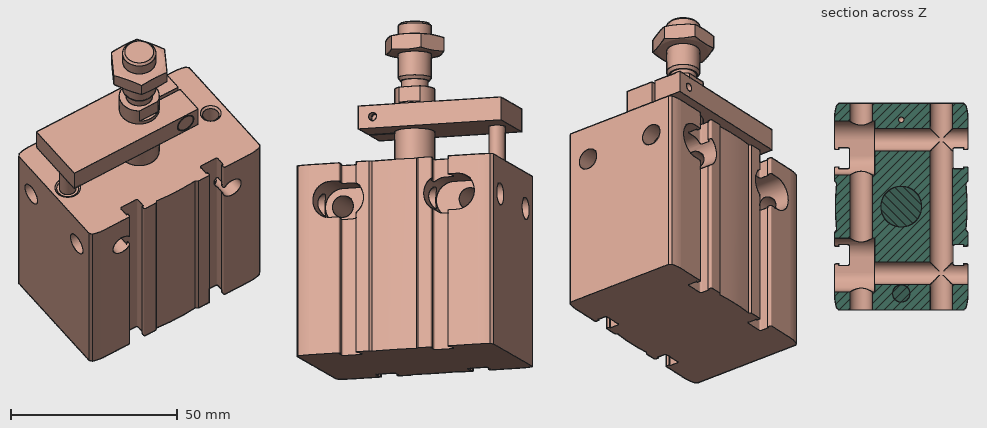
import cadquery as cq
import math

BODY_WIDTH = 40.0
BODY_LENGTH = 62.0
BODY_HEIGHT = 58.0

CORNER_CUT_X = 1.4
CORNER_CUT_Y = 0.7
FLANK_START_Y = 26.6
FLANK_DRAFT = 0.6
FLANK_BULGE = 0.14

SLOT_Y = 14.5
SLOT_WIDTH = 6.2
SLOT_FLOOR_ROUND = 0.5
SLOT_DEPTH = 4.5
SLOT_MOUTH = 5.2
LIP_THICKNESS = 1.3
LIP_ROUND = 0.4

PANEL_OUTER_Y = 7.7
PANEL_INNER_Y = 7.0
PANEL_RECESS = 0.6
PANEL_CREST = 0.25

MOUNT_HOLE_DIA = 6.6
MOUNT_HOLE_Z = 47.0
MOUNT_HOLE_X = 12.0
MOUNT_HOLE_Y = 20.0
MOUNT_POCKET_WIDTH = 11.0
MOUNT_POCKET_SHIFT = 5.0
MOUNT_POCKET_DEPTH = 12.0

GUIDE_Y = 26.0
TAP_DIA = 4.92
TAP_MOUTH_DIA = 6.2
TAP_DEPTH = 10.0
DRILL_POINT_ANGLE = 118.0

GUIDE_SEAT_DIA = 6.6
GUIDE_MOUTH_DIA = 7.6
GUIDE_SEAT_DEPTH = 0.3

ROD_DIA = 12.0
ROD_BOTTOM_Z = 42.0
ROD_SHOULDER_Z = 83.0
ROD_FLAT_WIDTH = 10.0
ROD_FLAT_HEIGHT = 4.7
NECK_DIA = 8.0
NECK_TOP_Z = 85.5
THREAD_DIA = 10.0
THREAD_START_Z = 86.5
THREAD_START_DIA = 8.57
THREAD_END_DIA = 8.65
ROD_TOP_Z = 103.0

NUT_BOTTOM_Z = 93.7
NUT_HEIGHT = 5.0
NUT_ACROSS_FLATS = 16.0
NUT_FACE_DIA = 15.0
NUT_CHAMFER_ANGLE = 15.0

PLATE_WIDTH = 20.0
PLATE_BOTTOM_Z = 70.0
PLATE_THICKNESS = 7.0
PLATE_FRONT_Y = -30.5
PLATE_BACK_Y = 14.5
SPLIT_WIDTH = 1.0

PIN_DIA = 5.0
PIN_BOTTOM_Z = 20.0
PIN_SOCKET_DEPTH = 4.0
PIN_TOP_Z = PLATE_BOTTOM_Z + PIN_SOCKET_DEPTH

SCREW_Y = 10.0
SCREW_Z = PLATE_BOTTOM_Z + PLATE_THICKNESS / 2
SCREW_DIA = 3.0
SCREW_TAP_DIA = 2.46
SCREW_CLEARANCE_DIA = 3.4
SCREW_HEAD_DIA = 5.5
SCREW_HEAD_RECESS_DIA = 5.9
SCREW_HEAD_HEIGHT = 3.0
SCREW_TIP_X = -7.0


def cylinder_z(diameter, bottom, top, x=0.0, y=0.0):
    """Upright cylinder between two heights."""
    return cq.Workplane("XY", (x, y, bottom)).circle(diameter / 2).extrude(top - bottom)


def cylinder_x(diameter, start, end, y, z):
    """Cylinder lying along X between two X positions."""
    return cq.Workplane("YZ", (start, y, z)).circle(diameter / 2).extrude(end - start)


def cone_z(bottom_dia, top_dia, bottom, top, y=0.0):
    """Upright cone frustum, turned from its half section; a zero bottom diameter gives a point."""
    points = [(0, bottom), (top_dia / 2, top), (0, top)]
    if bottom_dia > 0:
        points.insert(1, (bottom_dia / 2, bottom))
    cone = cq.Workplane("XZ").polyline(points).close().revolve(360, (0, 0, 0), (0, 1, 0))
    return cone.translate((0, y, 0))


def housing_blank():
    """Extruded body without slots: chamfered corners, curved flanks and bulged panels."""
    half_x = BODY_WIDTH / 2
    half_y = BODY_LENGTH / 2
    corner_y = half_y - CORNER_CUT_Y
    draft_x = half_x - FLANK_DRAFT
    flank_mid = (half_x - FLANK_DRAFT / 2 + FLANK_BULGE, (FLANK_START_Y + corner_y) / 2)
    panel_x = half_x - PANEL_RECESS
    half = (
        cq.Workplane("XY")
        .moveTo(0, half_y)
        .lineTo(half_x - CORNER_CUT_X, half_y)
        .lineTo(draft_x, corner_y)
        .threePointArc(flank_mid, (half_x, FLANK_START_Y))
        .lineTo(half_x, PANEL_OUTER_Y)
        .lineTo(panel_x, PANEL_INNER_Y)
        .threePointArc((half_x - PANEL_CREST, 0), (panel_x, -PANEL_INNER_Y))
        .lineTo(half_x, -PANEL_OUTER_Y)
        .lineTo(half_x, -FLANK_START_Y)
        .threePointArc((flank_mid[0], -flank_mid[1]), (draft_x, -corner_y))
        .lineTo(half_x - CORNER_CUT_X, -half_y)
        .lineTo(0, -half_y)
        .close()
        .extrude(BODY_HEIGHT)
    )
    return half.union(half.mirror("YZ"))


def t_slot(side_x, side_y):
    """Full-height T-slot in one flank, with rounded floor corners; side_x and side_y are +1 or -1."""
    half_x = BODY_WIDTH / 2
    lip_x = half_x - LIP_THICKNESS
    floor_x = half_x - SLOT_DEPTH
    centre_y = side_y * SLOT_Y
    floor_side = "<X" if side_x > 0 else ">X"
    channel = (
        cq.Workplane("XY")
        .center(side_x * (lip_x + floor_x) / 2, centre_y)
        .rect(lip_x - floor_x, SLOT_WIDTH)
        .extrude(BODY_HEIGHT)
        .faces(floor_side)
        .edges("|Z")
        .fillet(SLOT_FLOOR_ROUND)
    )
    mouth = (
        cq.Workplane("XY")
        .center(side_x * (half_x + lip_x) / 2, centre_y)
        .rect(half_x - lip_x, SLOT_MOUTH)
        .extrude(BODY_HEIGHT)
    )
    return channel.union(mouth)


def round_lips(body):
    """Round the outer corners of all the T-slot lips."""
    half_x = BODY_WIDTH / 2
    for side_x in (-1, 1):
        for side_y in (-1, 1):
            for lip_side in (-1, 1):
                lip_y = side_y * SLOT_Y + lip_side * SLOT_MOUTH / 2
                corner_point = (side_x * half_x, lip_y, BODY_HEIGHT / 2)
                corner = cq.selectors.NearestToPointSelector(corner_point)
                body = body.edges("|Z").edges(corner).fillet(LIP_ROUND)
    return body


def mount_pocket(side_y):
    """Deep round-ended pocket around the mouth of a cross hole in the -X flank."""
    centre_y = side_y * (MOUNT_HOLE_Y - MOUNT_POCKET_SHIFT / 2)
    return (
        cq.Workplane("YZ", (-BODY_WIDTH / 2, centre_y, MOUNT_HOLE_Z))
        .slot2D(MOUNT_POCKET_WIDTH + MOUNT_POCKET_SHIFT, MOUNT_POCKET_WIDTH)
        .extrude(MOUNT_POCKET_DEPTH)
    )


def build_housing():
    body = housing_blank()
    for side_x in (-1, 1):
        for side_y in (-1, 1):
            body = body.cut(t_slot(side_x, side_y))
    body = round_lips(body)
    for side in (-1, 1):
        body = body.cut(mount_pocket(side))
        body = body.cut(cylinder_x(MOUNT_HOLE_DIA, -BODY_WIDTH / 2, BODY_WIDTH / 2,
                                   side * MOUNT_HOLE_Y, MOUNT_HOLE_Z))
        along_y = (
            cq.Workplane("XZ", (side * MOUNT_HOLE_X, 0, MOUNT_HOLE_Z))
            .circle(MOUNT_HOLE_DIA / 2)
            .extrude(BODY_LENGTH / 2, both=True)
        )
        body = body.cut(along_y)

    tap_bottom = BODY_HEIGHT - TAP_DEPTH
    point_depth = TAP_DIA / 2 / math.tan(math.radians(DRILL_POINT_ANGLE / 2))
    tap_chamfer = (TAP_MOUTH_DIA - TAP_DIA) / 2
    body = body.cut(cylinder_z(TAP_DIA, tap_bottom, BODY_HEIGHT, y=GUIDE_Y))
    body = body.cut(cone_z(0, TAP_DIA, tap_bottom - point_depth, tap_bottom, GUIDE_Y))
    body = body.cut(cone_z(TAP_DIA, TAP_MOUTH_DIA, BODY_HEIGHT - tap_chamfer, BODY_HEIGHT, GUIDE_Y))

    seat_z = BODY_HEIGHT - GUIDE_SEAT_DEPTH
    body = body.cut(cylinder_z(PIN_DIA, PIN_BOTTOM_Z, BODY_HEIGHT, y=-GUIDE_Y))
    body = body.cut(cone_z(GUIDE_SEAT_DIA, GUIDE_MOUTH_DIA, seat_z, BODY_HEIGHT, -GUIDE_Y))
    return body.cut(cylinder_z(ROD_DIA, ROD_BOTTOM_Z, BODY_HEIGHT))


def build_rod():
    end_chamfer = (THREAD_DIA - THREAD_END_DIA) / 2
    thread_end = ROD_TOP_Z - end_chamfer
    rod = cylinder_z(ROD_DIA, ROD_BOTTOM_Z, ROD_SHOULDER_Z)
    flats = (
        cq.Workplane("XY", (0, 0, ROD_SHOULDER_Z - ROD_FLAT_HEIGHT))
        .rect(2 * ROD_DIA, 2 * ROD_DIA)
        .rect(ROD_FLAT_WIDTH, 2 * ROD_DIA)
        .extrude(ROD_FLAT_HEIGHT)
    )
    rod = rod.cut(flats)
    rod = rod.union(cylinder_z(NECK_DIA, ROD_SHOULDER_Z, NECK_TOP_Z))
    rod = rod.union(cone_z(THREAD_START_DIA, THREAD_DIA, NECK_TOP_Z, THREAD_START_Z))
    rod = rod.union(cylinder_z(THREAD_DIA, THREAD_START_Z, thread_end))
    return rod.union(cone_z(THREAD_DIA, THREAD_END_DIA, thread_end, ROD_TOP_Z))


def build_nut():
    """Hexagon nut with corners on the Y axis and conical chamfers on both faces."""
    corner_dia = NUT_ACROSS_FLATS / math.cos(math.pi / 6)
    nut_top = NUT_BOTTOM_Z + NUT_HEIGHT
    chamfer = (corner_dia - NUT_FACE_DIA) / 2 * math.tan(math.radians(NUT_CHAMFER_ANGLE))
    hexagon = (
        cq.Workplane("XY", (0, 0, NUT_BOTTOM_Z))
        .transformed(rotate=(0, 0, 90))
        .polygon(6, corner_dia)
        .extrude(NUT_HEIGHT)
    )
    envelope = cone_z(NUT_FACE_DIA, corner_dia, NUT_BOTTOM_Z, NUT_BOTTOM_Z + chamfer)
    envelope = envelope.union(cylinder_z(corner_dia, NUT_BOTTOM_Z + chamfer, nut_top - chamfer))
    envelope = envelope.union(cone_z(corner_dia, NUT_FACE_DIA, nut_top - chamfer, nut_top))
    return hexagon.intersect(envelope).cut(cylinder_z(THREAD_DIA, NUT_BOTTOM_Z, nut_top))


def build_plate():
    """Arm clamped on the rod by a screw across its split end; it carries the guide pin."""
    half_x = PLATE_WIDTH / 2
    plate_top = PLATE_BOTTOM_Z + PLATE_THICKNESS
    length = PLATE_BACK_Y - PLATE_FRONT_Y
    plate = (
        cq.Workplane("XY", (0, (PLATE_BACK_Y + PLATE_FRONT_Y) / 2, PLATE_BOTTOM_Z))
        .rect(PLATE_WIDTH, length)
        .extrude(PLATE_THICKNESS)
    )
    plate = plate.cut(cylinder_z(ROD_DIA, PLATE_BOTTOM_Z, plate_top))
    split = (
        cq.Workplane("XY", (0, PLATE_BACK_Y / 2, PLATE_BOTTOM_Z))
        .rect(SPLIT_WIDTH, PLATE_BACK_Y)
        .extrude(PLATE_THICKNESS)
    )
    plate = plate.cut(split)
    plate = plate.cut(cylinder_z(PIN_DIA, PLATE_BOTTOM_Z, PIN_TOP_Z, y=-GUIDE_Y))
    plate = plate.cut(cylinder_x(SCREW_TAP_DIA, -half_x, 0, SCREW_Y, SCREW_Z))
    plate = plate.cut(cylinder_x(SCREW_DIA, SCREW_TIP_X, 0, SCREW_Y, SCREW_Z))
    plate = plate.cut(cylinder_x(SCREW_CLEARANCE_DIA, 0, half_x, SCREW_Y, SCREW_Z))
    head_x = half_x - SCREW_HEAD_HEIGHT
    return plate.cut(cylinder_x(SCREW_HEAD_RECESS_DIA, head_x, half_x, SCREW_Y, SCREW_Z))


def build_screw():
    """Clamp screw across the split, its head flush in the +X side of the plate."""
    head_x = PLATE_WIDTH / 2 - SCREW_HEAD_HEIGHT
    shank = cylinder_x(SCREW_DIA, SCREW_TIP_X, head_x, SCREW_Y, SCREW_Z)
    return shank.union(cylinder_x(SCREW_HEAD_DIA, head_x, PLATE_WIDTH / 2, SCREW_Y, SCREW_Z))


housing = build_housing()
rod = build_rod()
nut = build_nut()
plate = build_plate()
screw = build_screw()
guide_pin = cylinder_z(PIN_DIA, PIN_BOTTOM_Z, PIN_TOP_Z, y=-GUIDE_Y)

bodies = (housing, rod, nut, plate, guide_pin, screw)
result = cq.Compound.makeCompound([body.solids().val() for body in bodies])